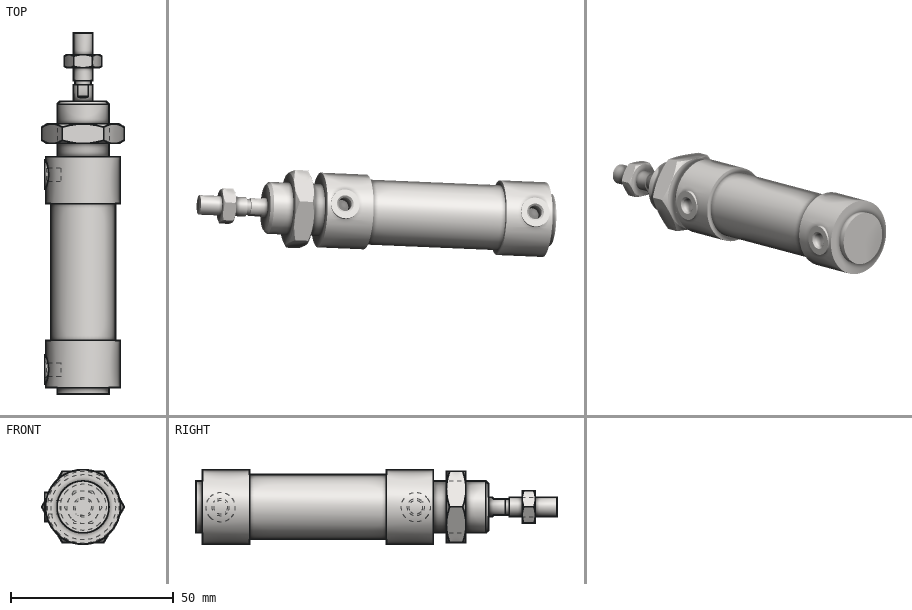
import cadquery as cq
import math


CAP_DIAMETER = 23
CAP_LENGTH = 14.5
TUBE_DIAMETER = 20
TUBE_LENGTH = 42
NECK_DIAMETER = 16
NECK_LENGTH = 17
NECK_CHAMFER = 0.9
REAR_SPIGOT_LENGTH = 2

PORT_BOSS_DIAMETER = 9
PORT_FACE_OFFSET = 11.8
PORT_EDGE_DISTANCE = 5.5
PORT_BORE_DIAMETER = 4.2
PORT_MOUTH_DIAMETER = 5.3
PORT_DEPTH = 5

ROD_DIAMETER = 6
ROD_LENGTH = 21
THREAD_LENGTH = 14.7
RELIEF_DIAMETER = 5
RELIEF_LENGTH = 1.2
FLATS_WIDTH = 5
FLATS_LENGTH = 3.6

NECK_NUT_WIDTH = 22
NECK_NUT_THICKNESS = 6
NECK_NUT_GAP = 4
ROD_NUT_WIDTH = 10
ROD_NUT_THICKNESS = 4
ROD_NUT_TIP_DISTANCE = 6.7

NUT_CHAMFER_SLOPE = math.tan(math.radians(30))

front_cap_rear = -CAP_LENGTH
rear_cap_front = front_cap_rear - TUBE_LENGTH
rear_cap_rear = rear_cap_front - CAP_LENGTH
housing_rear = rear_cap_rear - REAR_SPIGOT_LENGTH
rod_tip = NECK_LENGTH + ROD_LENGTH


def revolve_about_y(profile):
    """Revolve a closed (radius, y) outline about the Y axis."""
    return cq.Workplane("XY").polyline(profile).close().revolve(360, (0, 0, 0), (0, 1, 0))


def cylinder_along_x(diameter, x_start, length, y):
    """Cylinder running toward +X from x_start."""
    return cq.Workplane("YZ", origin=(x_start, y, 0)).circle(diameter / 2).extrude(length)


def make_port_bore(y):
    """Blind bore with a 45 degree countersunk mouth, entering from -X."""
    mouth_radius = PORT_MOUTH_DIAMETER / 2
    bore_radius = PORT_BORE_DIAMETER / 2
    profile = [
        (0, 0),
        (0, mouth_radius),
        (mouth_radius - bore_radius, bore_radius),
        (PORT_DEPTH, bore_radius),
        (PORT_DEPTH, 0),
    ]
    bore = cq.Workplane("XY").polyline(profile).close().revolve(360, (0, 0, 0), (1, 0, 0))
    return bore.translate((-PORT_FACE_OFFSET, y, 0))


def make_housing():
    cap_radius = CAP_DIAMETER / 2
    tube_radius = TUBE_DIAMETER / 2
    neck_radius = NECK_DIAMETER / 2
    neck_tip_radius = neck_radius - NECK_CHAMFER
    body = revolve_about_y([
        (0, housing_rear),
        (neck_radius, housing_rear),
        (neck_radius, rear_cap_rear),
        (cap_radius, rear_cap_rear),
        (cap_radius, rear_cap_front),
        (tube_radius, rear_cap_front),
        (tube_radius, front_cap_rear),
        (cap_radius, front_cap_rear),
        (cap_radius, 0),
        (neck_radius, 0),
        (neck_radius, NECK_LENGTH - NECK_CHAMFER),
        (neck_tip_radius, NECK_LENGTH),
        (0, NECK_LENGTH),
    ])
    for port_y in (-PORT_EDGE_DISTANCE, rear_cap_rear + PORT_EDGE_DISTANCE):
        boss = cylinder_along_x(PORT_BOSS_DIAMETER, -PORT_FACE_OFFSET, PORT_FACE_OFFSET, port_y)
        body = body.union(boss).cut(make_port_bore(port_y))
    return body


def make_rod():
    """Rod standing on the neck face: plain shank with wrench flats, relief groove, thread."""
    rod_radius = ROD_DIAMETER / 2
    relief_radius = RELIEF_DIAMETER / 2
    relief_front = rod_tip - THREAD_LENGTH
    relief_rear = relief_front - RELIEF_LENGTH
    rod = revolve_about_y([
        (0, NECK_LENGTH),
        (rod_radius, NECK_LENGTH),
        (rod_radius, relief_rear),
        (relief_radius, relief_rear),
        (relief_radius, relief_front),
        (rod_radius, relief_front),
        (rod_radius, rod_tip),
        (0, rod_tip),
    ])

    flat_height = FLATS_WIDTH / 2
    flat_depth = rod_radius - flat_height
    flats_rear = relief_rear - FLATS_LENGTH
    flat_cutter = (
        cq.Workplane("YZ")
        .polyline([
            (relief_front, flat_height),
            (flats_rear, flat_height),
            (flats_rear - flat_depth, rod_radius),
            (relief_front, rod_radius),
        ])
        .close()
        .extrude(rod_radius, both=True)
    )
    return rod.cut(flat_cutter).cut(flat_cutter.mirror("XY"))


def make_nut(width, thickness, bore_diameter, rear_y):
    """Hexagon nut with corners along X, with 30 degree chamfers on both faces."""
    corner_diameter = width / math.cos(math.pi / 6)
    corner_radius = corner_diameter / 2
    face_radius = width / 2
    chamfer_length = (corner_radius - face_radius) * NUT_CHAMFER_SLOPE
    front_y = rear_y + thickness
    hexagon = (
        cq.Workplane("XZ", origin=(0, front_y, 0))
        .polygon(6, corner_diameter)
        .circle(bore_diameter / 2)
        .extrude(thickness)
    )
    chamfer_envelope = revolve_about_y([
        (0, rear_y),
        (face_radius, rear_y),
        (corner_radius, rear_y + chamfer_length),
        (corner_radius, front_y - chamfer_length),
        (face_radius, front_y),
        (0, front_y),
    ])
    return hexagon.intersect(chamfer_envelope)


housing = make_housing()
rod = make_rod()
neck_nut = make_nut(NECK_NUT_WIDTH, NECK_NUT_THICKNESS, NECK_DIAMETER, NECK_NUT_GAP)
rod_nut_rear = rod_tip - ROD_NUT_TIP_DISTANCE - ROD_NUT_THICKNESS
rod_nut = make_nut(ROD_NUT_WIDTH, ROD_NUT_THICKNESS, ROD_DIAMETER, rod_nut_rear)

result = cq.Compound.makeCompound([housing.val(), rod.val(), neck_nut.val(), rod_nut.val()])